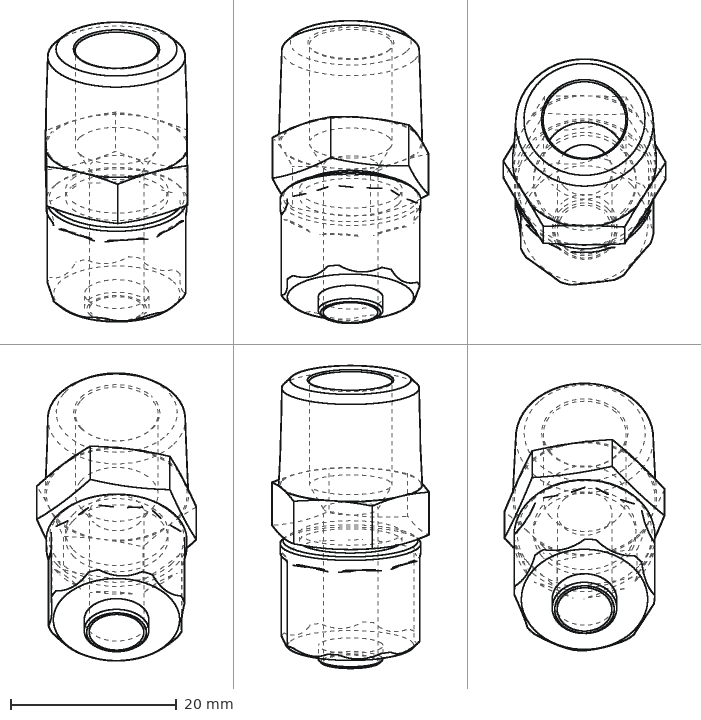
import cadquery as cq
import math

NUT_BOTTOM = 2.0
NUT_TOP = 15.0
HEX_BOTTOM = 16.0
HEX_TOP = 22.0
TOTAL_HEIGHT = 35.0

STUB_DIAMETER = 7.8
STUB_CHAMFER = 0.3
NECK_DIAMETER = 12.4

ACROSS_FLATS = 17.0
ACROSS_CORNERS = ACROSS_FLATS / math.cos(math.radians(30))
HEX_CHAMFER_ANGLE = 15.0

THREAD_TAPER = 1 / 16
GAUGE_DIAMETER = ACROSS_FLATS
GAUGE_HEIGHT = 28.0
THREAD_CHAMFER = 1.0

NUT_DIAMETER = 17.0
NUT_TOP_CHAMFER = 0.35
NUT_BOTTOM_CHAMFER = 0.87
FLUTE_COUNT = 8
LAND_WIDTH = 1.33
FLUTE_DEPTH = 0.64
FLUTE_TOP = 13.35
FLUTE_END_FILLET = 0.2
FLUTE_RIM_FILLET = 0.2

BORE_DIAMETER = 10.0
BORE_BOTTOM = HEX_TOP
BORE_CHAMFER = 0.2
THROUGH_DIAMETER = 6.6
BORE_CONE_ANGLE = 60.0

TOLERANCE = 1e-3


def cylinder(diameter, bottom, top):
    return cq.Workplane("XY").workplane(offset=bottom).circle(diameter / 2).extrude(top - bottom)


def turned(profile):
    """Revolve a closed (radius, height) outline about Z."""
    return cq.Workplane("XZ").polyline(profile).close().revolve(360, (0, 0), (0, 1))


def hexagon(bottom, top):
    """Hexagonal prism with two flats facing -X and +X."""
    prism = cq.Workplane("XY").polygon(6, ACROSS_CORNERS).extrude(top - bottom)
    return prism.rotate((0, 0, 0), (0, 0, 1), 30).translate((0, 0, bottom))


def hex_collar():
    """Hexagon whose corners are turned off by a shallow cone at both ends."""
    flat_radius = ACROSS_FLATS / 2
    corner_radius = ACROSS_CORNERS / 2
    drop = (corner_radius - flat_radius) * math.tan(math.radians(HEX_CHAMFER_ANGLE))
    envelope = turned([
        (0, HEX_BOTTOM),
        (flat_radius, HEX_BOTTOM),
        (corner_radius, HEX_BOTTOM + drop),
        (corner_radius, HEX_TOP - drop),
        (flat_radius, HEX_TOP),
        (0, HEX_TOP),
    ])
    return hexagon(HEX_BOTTOM, HEX_TOP).intersect(envelope)


def thread_radius(height):
    return (GAUGE_DIAMETER + THREAD_TAPER * (GAUGE_HEIGHT - height)) / 2


def tapered_thread():
    """Taper with the hexagon flats running out into its wide lower end."""
    chamfer_start = TOTAL_HEIGHT - THREAD_CHAMFER
    end_radius = thread_radius(chamfer_start)
    taper = turned([
        (0, HEX_TOP),
        (thread_radius(HEX_TOP), HEX_TOP),
        (end_radius, chamfer_start),
        (end_radius - THREAD_CHAMFER, TOTAL_HEIGHT),
        (0, TOTAL_HEIGHT),
    ])
    return taper.intersect(hexagon(HEX_TOP, TOTAL_HEIGHT))


def flute_cutter():
    """Concave flute on the +X side, open downwards, with a filleted upper end."""
    radius = NUT_DIAMETER / 2
    half_angle = math.pi / FLUTE_COUNT - math.asin(LAND_WIDTH / 2 / radius)
    edge_x = radius * math.cos(half_angle)
    edge_y = radius * math.sin(half_angle)
    sagitta = FLUTE_DEPTH - (radius - edge_x)
    floor_radius = (edge_y ** 2 + sagitta ** 2) / (2 * sagitta)
    floor_x = radius - FLUTE_DEPTH
    centre_x = floor_x + floor_radius
    height = FLUTE_TOP - NUT_BOTTOM
    cutter = cq.Workplane("XY").circle(floor_radius).extrude(height)
    cutter = cutter.faces(">Z").edges().fillet(FLUTE_END_FILLET)
    return cutter.translate((centre_x, 0, NUT_BOTTOM))


def is_flute_rim(edge):
    """True for the arc where the upper end of a flute meets the outside of the nut."""
    middle = edge.positionAt(0.5)
    at_flute_top = all(abs(edge.positionAt(t).z - FLUTE_TOP) < TOLERANCE for t in (0, 0.5, 1))
    on_outside = abs(math.hypot(middle.x, middle.y) - NUT_DIAMETER / 2) < TOLERANCE
    return at_flute_top and on_outside


def union_nut():
    nut = cylinder(NUT_DIAMETER, NUT_BOTTOM, NUT_TOP)
    nut = nut.faces(">Z").chamfer(NUT_TOP_CHAMFER)
    nut = nut.faces("<Z").chamfer(NUT_BOTTOM_CHAMFER)
    pitch = 360 / FLUTE_COUNT
    cutter = flute_cutter()
    for index in range(FLUTE_COUNT):
        nut = nut.cut(cutter.rotate((0, 0, 0), (0, 0, 1), (index + 0.5) * pitch))
    rims = [edge for edge in nut.edges().vals() if is_flute_rim(edge)]
    return nut.newObject(rims).fillet(FLUTE_RIM_FILLET)


def hose_stub():
    stub = cylinder(STUB_DIAMETER, 0, NUT_TOP)
    return stub.faces("<Z").chamfer(STUB_CHAMFER)


def bore():
    """Wide upper bore narrowing through a cone to the through hole."""
    bore_radius = BORE_DIAMETER / 2
    through_radius = THROUGH_DIAMETER / 2
    cone_depth = (bore_radius - through_radius) / math.tan(math.radians(BORE_CONE_ANGLE / 2))
    return turned([
        (0, 0),
        (through_radius, 0),
        (through_radius, BORE_BOTTOM - cone_depth),
        (bore_radius, BORE_BOTTOM),
        (bore_radius, TOTAL_HEIGHT - BORE_CHAMFER),
        (bore_radius + BORE_CHAMFER, TOTAL_HEIGHT),
        (0, TOTAL_HEIGHT),
    ])


body = cylinder(NECK_DIAMETER, NUT_BOTTOM, HEX_TOP).union(hex_collar())
body = body.union(union_nut())
body = body.union(hose_stub())
body = body.union(tapered_thread(), clean=False)
result = body.cut(bore(), clean=False)